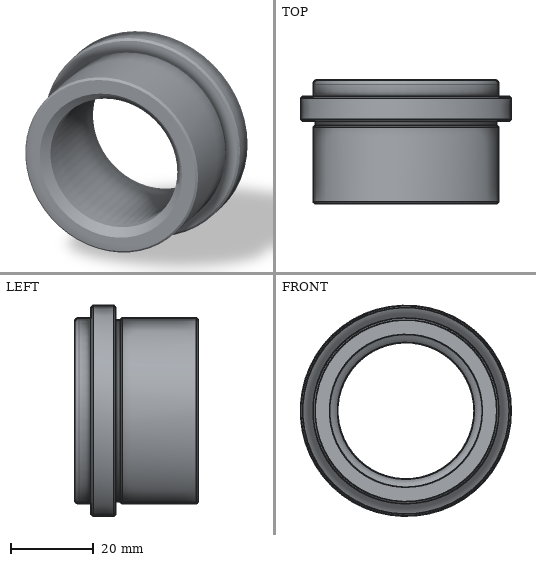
import cadquery as cq
import math

flange_diameter = 51.0
body_diameter = 45.0
groove_diameter = 44.0
bore_diameter = 33.0
bore_mouth_diameter = 37.0

total_length = 30.0
rear_length = 4.0
flange_length = 6.0
groove_length = 1.0

edge_chamfer = 0.5
rear_edge_radius = 1.0

flange_radius = flange_diameter / 2
body_radius = body_diameter / 2
groove_radius = groove_diameter / 2
bore_radius = bore_diameter / 2
mouth_radius = bore_mouth_diameter / 2
mouth_depth = mouth_radius - bore_radius

flange_rear = total_length - rear_length
flange_front = flange_rear - flange_length
body_rear = flange_front - groove_length

arc_inset = rear_edge_radius * (1 - math.sqrt(0.5))
rear_arc_middle = (body_radius - arc_inset, total_length - arc_inset)
rear_arc_end = (body_radius - rear_edge_radius, total_length)

outer_points = [
    (mouth_radius, 0),
    (body_radius - edge_chamfer, 0),
    (body_radius, edge_chamfer),
    (body_radius, body_rear - edge_chamfer),
    (groove_radius, body_rear),
    (groove_radius, flange_front),
    (flange_radius - edge_chamfer, flange_front),
    (flange_radius, flange_front + edge_chamfer),
    (flange_radius, flange_rear - edge_chamfer),
    (flange_radius - edge_chamfer, flange_rear),
    (body_radius, flange_rear),
    (body_radius, total_length - rear_edge_radius),
]

half_section = (
    cq.Workplane("XY")
    .polyline(outer_points)
    .threePointArc(rear_arc_middle, rear_arc_end)
    .lineTo(bore_radius, total_length)
    .lineTo(bore_radius, mouth_depth)
    .close()
)

result = half_section.revolve(360, (0, 0, 0), (0, 1, 0))